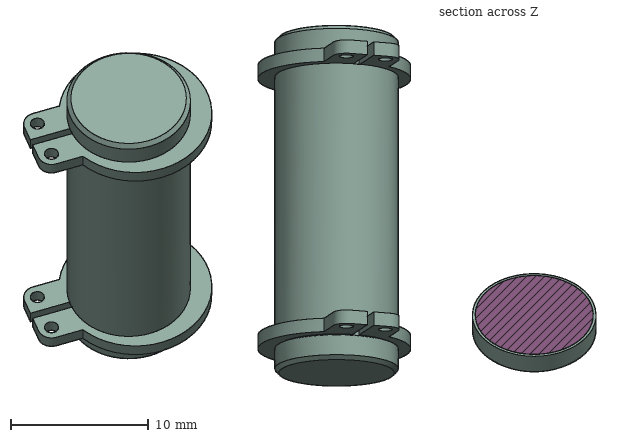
import cadquery as cq

PIN_LENGTH = 25.0
PIN_DIAMETER = 9.0
END_CHAMFER = 0.3

GROOVE_DIAMETER = 8.6
GROOVE_WIDTH = 1.1
END_LAND = 1.8

RING_THICKNESS = 1.0
RING_DIAMETER = 11.14
RING_OFFSET = 0.52
LUG_REACH = 7.52
LUG_SPAN = 5.0
LUG_CORNER_RADIUS = 1.0
LUG_GAP = 0.5
LUG_HOLE_DIAMETER = 1.0
LUG_HOLE_SPACING = 3.0
LUG_HOLE_EDGE = 1.0

GROOVE_INNER_WALL = END_LAND + GROOVE_WIDTH


def make_pin():
    """Chamfered pin with a groove near each end."""
    pin = cq.Workplane("XY").circle(PIN_DIAMETER / 2).extrude(PIN_LENGTH)
    pin = pin.faces("<Z or >Z").chamfer(END_CHAMFER)
    for groove_bottom in (END_LAND, PIN_LENGTH - GROOVE_INNER_WALL):
        groove = (
            cq.Workplane("XY")
            .workplane(offset=groove_bottom)
            .circle(PIN_DIAMETER)
            .circle(GROOVE_DIAMETER / 2)
            .extrude(GROOVE_WIDTH)
        )
        pin = pin.cut(groove)
    return pin


def make_ring():
    """Retaining ring with two drilled lugs, its lower face at Z = 0."""
    body = cq.Workplane("XY").center(0, RING_OFFSET).circle(RING_DIAMETER / 2).extrude(RING_THICKNESS)
    lugs = (
        cq.Workplane("XY")
        .center(0, -LUG_REACH / 2)
        .rect(LUG_SPAN, LUG_REACH)
        .extrude(RING_THICKNESS)
        .edges("|Z and <Y")
        .fillet(LUG_CORNER_RADIUS)
    )
    gap = cq.Workplane("XY").center(0, -LUG_REACH / 2).rect(LUG_GAP, LUG_REACH).extrude(RING_THICKNESS)
    bore = cq.Workplane("XY").circle(GROOVE_DIAMETER / 2).extrude(RING_THICKNESS)
    hole_x = LUG_HOLE_SPACING / 2
    hole_y = LUG_HOLE_EDGE - LUG_REACH
    holes = (
        cq.Workplane("XY")
        .pushPoints([(-hole_x, hole_y), (hole_x, hole_y)])
        .circle(LUG_HOLE_DIAMETER / 2)
        .extrude(RING_THICKNESS)
    )
    return body.union(lugs).cut(gap).cut(bore).cut(holes)


ring = make_ring()
lower_ring_bottom = GROOVE_INNER_WALL - RING_THICKNESS
upper_ring_bottom = PIN_LENGTH - GROOVE_INNER_WALL

result = make_pin()
for ring_bottom in (lower_ring_bottom, upper_ring_bottom):
    result = result.union(ring.translate((0, 0, ring_bottom)))